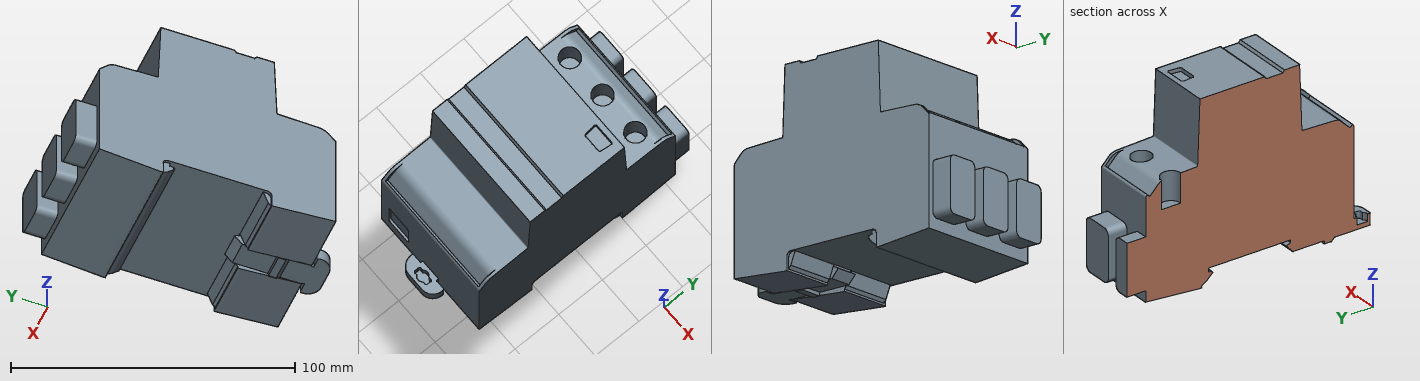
import cadquery as cq
import math

WIDTH = 53.7
HALF_LENGTH = 45.0
HEIGHT = 76.42
OVERLAP = 1.0

TOWER_TOP_HALF = 21.6
TOWER_FOOT_HALF = 22.6
TOWER_FOOT_Z = 49.6
TOWER_FOOT_RADIUS = 0.4

SHOULDER_DRAFT = math.radians(2.0)
CORNER_ANGLE = math.radians(46.0)
CORNER_FOOT_Z = 44.4
CORNER_RADIUS = 5.0
RIM_RADIUS = 1.0

RECESS_MARGIN_X = 1.3
RECESS_DEPTH = 1.5
RECESS_START = 1.05
RECESS_BEND_RADIUS = 4.6

SIDE_FOOT_Z = 2.0
FOOT_FLAT_HALF = 22.0
SLOT_HALF = 20.7
SLOT_HEIGHT = 7.0
SLOT_RADIUS = 2.0
HOOK_MARGIN_X = 1.0
HOOK_FOOT_Z = 0.8

HOOK_THROAT_Y = 17.8
HOOK_THROAT_Z = 5.7
HOOK_TIP_TOP = (16.3, 5.3)
HOOK_TIP_BOTTOM = (15.9, 4.7)
HOOK_KNEE = (18.5, 2.2)

GUIDE_TOP_Y = -17.7
GUIDE_KNEE_Y = -19.7

GROOVE_NEAR = -6.4
GROOVE_FAR = -14.9
GROOVE_FLARE = 0.75
GROOVE_DEPTH = 1.0

POLE_PITCH = 18.0
TERMINAL_WIDTH = 13.4
TERMINAL_BOTTOM = 6.55
TERMINAL_TOP = 28.4
TERMINAL_LENGTH = 8.05
TERMINAL_RADIUS = 2.4
SCREW_Y = 34.0
SCREW_DIAMETER = 8.2
SCREW_HOLE_DEPTH = 12.0

WINDOW_X = 18.4
WINDOW_FAR_Y = 19.4
WINDOW_NEAR_Y = 13.8
WINDOW_FAR_WIDTH = 9.4
WINDOW_NEAR_WIDTH = 8.2
WINDOW_RADIUS = 0.7
WINDOW_DEPTH = 1.6

PANEL_X = -17.35
PANEL_Z = 15.95
PANEL_WIDTH = 10.7
PANEL_HEIGHT = 13.9
PANEL_RADIUS = 1.2
PANEL_DEPTH = 1.0

CLIP_X = 0.2
CLIP_HALF_WIDTH = 4.65
NECK_HALF_WIDTH = 4.3
TAB_HALF_WIDTH = 8.6
TAB_BACK_Y = -45.95
TAB_END_Y = -52.0
TAB_RADIUS = 5.0
TAB_BACK_RADIUS = 0.5
CLIP_BOTTOM = SIDE_FOOT_Z
EYE_Y = -48.55
EYE_WIDTH = 6.6
EYE_HEIGHT = 2.7
EYE_DIAMETER = 4.4
EYE_RADIUS = 0.4
EYE_DEPTH = 3.0
CHANNEL_END_Y = -16.7
NOSE_THROAT_Y = -17.5
NOSE_THROAT_Z = 6.2
NOSE_TIP_TOP = (-15.7, 5.2)
NOSE_TIP_BOTTOM = (-16.2, 4.6)
NOSE_KNEE_Y = -18.6
GRIP_FRONT_Y = -36.7
GRIP_BACK_Y = -31.9
GRIP_FRONT_SLOPE = 1.5
GRIP_BACK_SLOPE = 0.4
GRIP_BOTTOM = 0.7


def extrude_x(points, half_width):
    """Prism with a (y, z) outline, centred on X = 0."""
    return cq.Workplane("YZ").polyline(points).close().extrude(half_width, both=True)


def shoulder_z(y):
    """Height of the untrimmed shoulder at distance y from the middle."""
    return TOWER_FOOT_Z - (y - TOWER_FOOT_HALF) * math.tan(SHOULDER_DRAFT)


def shoulder_meets_slope(inset):
    """(y, z) where the shoulder meets the corner slope moved inward by inset."""
    slope = math.tan(CORNER_ANGLE)
    drop = math.tan(SHOULDER_DRAFT)
    slope_z = CORNER_FOOT_Z - inset / math.cos(CORNER_ANGLE)
    flat_z = TOWER_FOOT_Z + TOWER_FOOT_HALF * drop
    y = (slope_z + HALF_LENGTH * slope - flat_z) / (slope - drop)
    return (y, shoulder_z(y))


def fillet_along_x(body, y, z, radius):
    """Round the full-width edge at (y, z) and its mirror at (-y, z)."""
    tolerance = 0.05
    for side in (1, -1):
        near = cq.selectors.BoxSelector(
            (-WIDTH, side * y - tolerance, z - tolerance),
            (WIDTH, side * y + tolerance, z + tolerance),
        )
        body = body.edges("|X").edges(near).fillet(radius)
    return body


def make_housing():
    corner_y, corner_z = shoulder_meets_slope(0)
    half = [
        (SLOT_HALF, SLOT_HEIGHT),
        (SLOT_HALF, 0),
        (FOOT_FLAT_HALF, 0),
        (HALF_LENGTH, SIDE_FOOT_Z),
        (HALF_LENGTH, CORNER_FOOT_Z),
        (corner_y, corner_z),
        (TOWER_FOOT_HALF, TOWER_FOOT_Z),
        (TOWER_TOP_HALF, HEIGHT),
    ]
    mirrored = [(-y, z) for y, z in reversed(half)]
    body = extrude_x(half + mirrored, WIDTH / 2)
    body = fillet_along_x(body, corner_y, corner_z, CORNER_RADIUS)
    body = fillet_along_x(body, HALF_LENGTH, CORNER_FOOT_Z, RIM_RADIUS)
    body = fillet_along_x(body, TOWER_FOOT_HALF, TOWER_FOOT_Z, TOWER_FOOT_RADIUS)
    return fillet_along_x(body, SLOT_HALF, SLOT_HEIGHT, SLOT_RADIUS)


def make_label_recess():
    """Cutter for the +Y corner: end wall, sloped floor and a bend up to the shoulder."""
    sine = math.sin(CORNER_ANGLE)
    cosine = math.cos(CORNER_ANGLE)
    rim = (HALF_LENGTH - RECESS_START * cosine, CORNER_FOOT_Z + RECESS_START * sine)
    wall_foot = (rim[0] - RECESS_DEPTH * sine, rim[1] - RECESS_DEPTH * cosine)
    wall_head = (rim[0] + RECESS_DEPTH * sine, rim[1] + RECESS_DEPTH * cosine)

    bend_y, bend_z = shoulder_meets_slope(RECESS_DEPTH)
    tangent = RECESS_BEND_RADIUS * math.tan((CORNER_ANGLE - SHOULDER_DRAFT) / 2)
    floor_end = (bend_y + tangent * cosine, bend_z - tangent * sine)
    bend_end_y = bend_y - tangent * math.cos(SHOULDER_DRAFT)
    bend_end = (bend_end_y, shoulder_z(bend_end_y))

    top_z = TOWER_FOOT_Z + OVERLAP
    return (
        cq.Workplane("YZ")
        .moveTo(*wall_head)
        .lineTo(*wall_foot)
        .lineTo(*floor_end)
        .tangentArcPoint(bend_end, relative=False)
        .lineTo(bend_end_y, top_z)
        .lineTo(wall_head[0], top_z)
        .close()
        .extrude(WIDTH / 2 - RECESS_MARGIN_X, both=True)
    )


def make_top_groove():
    floor_z = HEIGHT - GROOVE_DEPTH
    return extrude_x(
        [
            (GROOVE_NEAR, HEIGHT),
            (GROOVE_NEAR - GROOVE_FLARE, floor_z),
            (GROOVE_FAR + GROOVE_FLARE, floor_z),
            (GROOVE_FAR, HEIGHT),
        ],
        WIDTH / 2,
    )


def make_terminal(x):
    height = TERMINAL_TOP - TERMINAL_BOTTOM
    return (
        cq.Workplane("XY")
        .box(TERMINAL_WIDTH, TERMINAL_LENGTH + OVERLAP, height, centered=(True, False, False))
        .edges("|Y")
        .fillet(TERMINAL_RADIUS)
        .translate((x, HALF_LENGTH - OVERLAP, TERMINAL_BOTTOM))
    )


def make_screw_hole(x):
    floor_z = shoulder_z(SCREW_Y) - SCREW_HOLE_DEPTH
    return (
        cq.Workplane("XY", origin=(x, SCREW_Y, floor_z))
        .circle(SCREW_DIAMETER / 2)
        .extrude(SCREW_HOLE_DEPTH + OVERLAP)
    )


def make_top_window():
    outline = [
        (WINDOW_X - WINDOW_FAR_WIDTH / 2, WINDOW_FAR_Y),
        (WINDOW_X + WINDOW_FAR_WIDTH / 2, WINDOW_FAR_Y),
        (WINDOW_X + WINDOW_NEAR_WIDTH / 2, WINDOW_NEAR_Y),
        (WINDOW_X - WINDOW_NEAR_WIDTH / 2, WINDOW_NEAR_Y),
    ]
    return (
        cq.Workplane("XY", origin=(0, 0, HEIGHT - WINDOW_DEPTH))
        .polyline(outline)
        .close()
        .extrude(WINDOW_DEPTH)
        .edges("|Z")
        .fillet(WINDOW_RADIUS)
    )


def make_end_panel():
    return (
        cq.Workplane("XY")
        .box(PANEL_WIDTH, PANEL_DEPTH, PANEL_HEIGHT, centered=(True, False, True))
        .edges("|Y")
        .fillet(PANEL_RADIUS)
        .translate((PANEL_X, -HALF_LENGTH, PANEL_Z))
    )


def make_fixed_hook():
    """Hook on the +Y side of the rail slot."""
    root_y = SLOT_HALF + OVERLAP
    root_z = SLOT_HEIGHT + OVERLAP
    outline = [
        (root_y, root_z),
        (HOOK_THROAT_Y, root_z),
        (HOOK_THROAT_Y, HOOK_THROAT_Z),
        HOOK_TIP_TOP,
        HOOK_TIP_BOTTOM,
        HOOK_KNEE,
        (SLOT_HALF, HOOK_FOOT_Z),
        (root_y, HOOK_FOOT_Z),
    ]
    return extrude_x(outline, WIDTH / 2 - HOOK_MARGIN_X)


def make_clip_guide():
    """Sloped rib on the -Y side of the rail slot, either side of the clip."""
    root_y = -SLOT_HALF - OVERLAP
    root_z = SLOT_HEIGHT + OVERLAP
    outline = [
        (root_y, root_z),
        (GUIDE_TOP_Y, root_z),
        (GUIDE_TOP_Y, SLOT_HEIGHT),
        (GUIDE_KNEE_Y, CLIP_BOTTOM),
        (-SLOT_HALF, HOOK_FOOT_Z),
        (root_y, HOOK_FOOT_Z),
    ]
    return extrude_x(outline, WIDTH / 2 - HOOK_MARGIN_X)


def make_clip_channel():
    """Passage under the clip, through the -Y foot."""
    length = HALF_LENGTH + CHANNEL_END_Y
    return (
        cq.Workplane("XY")
        .box(2 * CLIP_HALF_WIDTH, length, CLIP_BOTTOM, centered=(True, False, False))
        .translate((0, -HALF_LENGTH, 0))
    )


def make_clip_nose():
    """Moving hook on the -Y side of the rail slot."""
    root_y = -SLOT_HALF - OVERLAP
    root_z = SLOT_HEIGHT + OVERLAP
    outline = [
        (root_y, root_z),
        (NOSE_THROAT_Y, root_z),
        (NOSE_THROAT_Y, NOSE_THROAT_Z),
        NOSE_TIP_TOP,
        NOSE_TIP_BOTTOM,
        (NOSE_KNEE_Y, CLIP_BOTTOM),
        (root_y, CLIP_BOTTOM),
    ]
    return extrude_x(outline, CLIP_HALF_WIDTH)


def make_clip_grip():
    """Grip under the clip that stands slightly proud of the sloping foot."""
    root_z = CLIP_BOTTOM + OVERLAP
    outline = [
        (GRIP_FRONT_Y, root_z),
        (GRIP_FRONT_Y, CLIP_BOTTOM),
        (GRIP_FRONT_Y + GRIP_FRONT_SLOPE, GRIP_BOTTOM),
        (GRIP_BACK_Y - GRIP_BACK_SLOPE, GRIP_BOTTOM),
        (GRIP_BACK_Y, root_z),
    ]
    return extrude_x(outline, CLIP_HALF_WIDTH)


def make_tab():
    """Pull tab with rounded corners, a neck and a blind eye that bulges in the middle."""
    thickness = SLOT_HEIGHT - CLIP_BOTTOM
    head = (
        cq.Workplane("XY")
        .box(2 * TAB_HALF_WIDTH, TAB_BACK_Y - TAB_END_Y, thickness, centered=(True, False, False))
        .translate((0, TAB_END_Y, CLIP_BOTTOM))
    )
    head = head.edges("|Z and <Y").fillet(TAB_RADIUS)
    head = head.edges("|Z and >Y").fillet(TAB_BACK_RADIUS)

    neck_start = TAB_BACK_Y - OVERLAP
    neck_length = OVERLAP - HALF_LENGTH - neck_start
    neck = (
        cq.Workplane("XY")
        .box(2 * NECK_HALF_WIDTH, neck_length, thickness, centered=(True, False, False))
        .translate((0, neck_start, CLIP_BOTTOM))
    )

    eye_plane = cq.Workplane("XY", origin=(0, EYE_Y, SLOT_HEIGHT - EYE_DEPTH))
    eye_slot = eye_plane.rect(EYE_WIDTH, EYE_HEIGHT).extrude(EYE_DEPTH)
    eye_slot = eye_slot.edges("|Z").fillet(EYE_RADIUS)
    eye_bore = eye_plane.circle(EYE_DIAMETER / 2).extrude(EYE_DEPTH)
    return head.union(neck).cut(eye_slot).cut(eye_bore)


body = make_housing()

recess = make_label_recess()
body = body.cut(recess).cut(recess.mirror("XZ"))
body = body.cut(make_top_groove())
body = body.cut(make_top_window())
body = body.cut(make_end_panel())

for pole in (-1, 0, 1):
    pole_x = pole * POLE_PITCH
    body = body.union(make_terminal(pole_x))
    body = body.cut(make_screw_hole(pole_x))

body = body.union(make_fixed_hook())
body = body.union(make_clip_guide())
clip_shift = (CLIP_X, 0, 0)
body = body.cut(make_clip_channel().translate(clip_shift))
body = body.union(make_clip_nose().translate(clip_shift))
body = body.union(make_clip_grip().translate(clip_shift))
body = body.union(make_tab().translate(clip_shift))

result = body